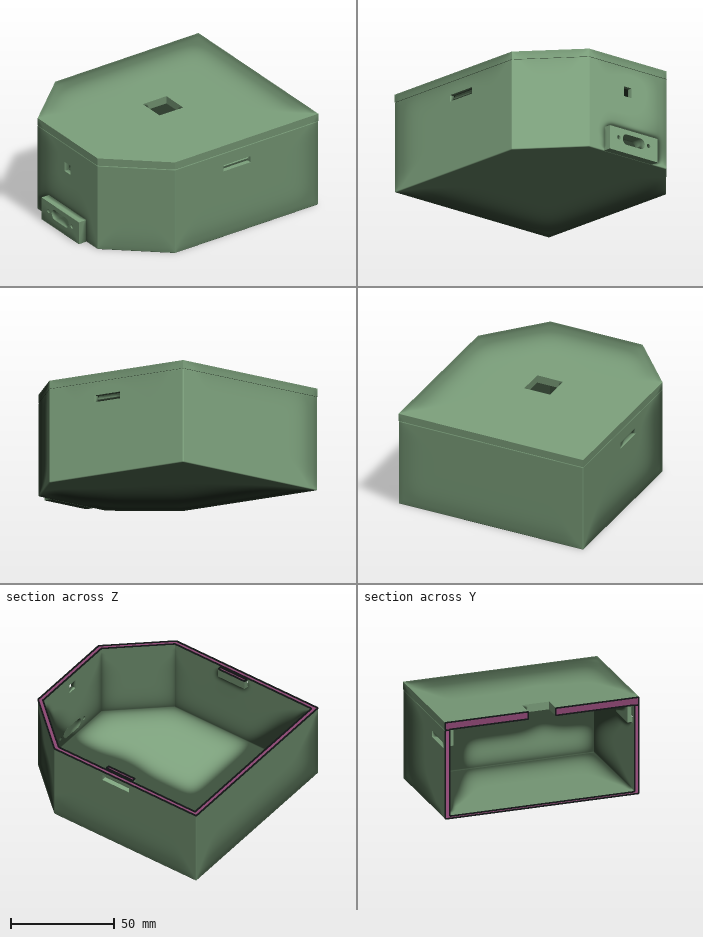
import cadquery as cq

WIDTH = 100.0
DEPTH = 113.2
HEIGHT = 50.0
CORNER_X = 25.0
CORNER_Y = 28.2

WALL = 2.5
FLOOR = 1.4
EDGE_ROUND = 0.5

LID_THICKNESS = 4.0
WINDOW_SIZE = 14.0

SLOT_LENGTH = 16.0
SLOT_HEIGHT = 3.3
SLOT_TOP = 39.4
SLOT_CENTRE_Y = 8.3
CLIP_THICKNESS = 2.0
CLIP_GAP = 0.7
NOSE_REACH = 1.4
NOSE_TOP_DROP = 1.6
NOSE_TIP_HEIGHT = 0.2
NOSE_BOTTOM_DROP = 0.9

SIGHT_HOLE_SIZE = 4.9
SIGHT_HOLE_Z = 33.5

PLATE_WIDTH = 31.0
PLATE_HEIGHT = 12.0
PLATE_THICKNESS = 4.3
SOCKET_Z = 7.0
SOCKET_LENGTH = 14.2
SOCKET_HEIGHT = 5.3
SCREW_HOLE_DIAMETER = 2.1
SCREW_HOLE_SPACING = 19.3

body_height = HEIGHT - LID_THICKNESS
front_y = -DEPTH / 2
half_width = WIDTH / 2


def plan_prism(height, inset=0):
    """Prism of the housing outline, drawn in by inset and standing on Z = 0."""
    outline = [
        (-half_width, -front_y),
        (-half_width, front_y + CORNER_Y),
        (-half_width + CORNER_X, front_y),
        (half_width - CORNER_X, front_y),
        (half_width, front_y + CORNER_Y),
        (half_width, -front_y),
    ]
    plan = cq.Workplane("XY").polyline(outline).close()
    if inset:
        plan = plan.offset2D(-inset)
    return plan.extrude(height)


def socket_cutter(near_y, length):
    """Rounded connector opening and its two screw holes, running from near_y toward +Y."""
    face = cq.Workplane("XZ", origin=(0, near_y, SOCKET_Z))
    opening = face.slot2D(SOCKET_LENGTH, SOCKET_HEIGHT).extrude(-length)
    screw_holes = (
        face.pushPoints([(-SCREW_HOLE_SPACING / 2, 0), (SCREW_HOLE_SPACING / 2, 0)])
        .circle(SCREW_HOLE_DIAMETER / 2)
        .extrude(-length)
    )
    return opening.union(screw_holes)


def make_housing():
    """Open-topped tray with rounded edges and openings in its walls."""
    outer = plan_prism(body_height).edges().fillet(EDGE_ROUND)
    cavity = plan_prism(body_height, WALL).faces("<Z").edges().fillet(EDGE_ROUND).translate((0, 0, FLOOR))
    side_slots = (
        cq.Workplane("YZ", origin=(-half_width, SLOT_CENTRE_Y, SLOT_TOP - SLOT_HEIGHT / 2))
        .rect(SLOT_LENGTH, SLOT_HEIGHT)
        .extrude(WIDTH)
    )
    sight_hole = (
        cq.Workplane("XZ", origin=(0, front_y, SIGHT_HOLE_Z))
        .rect(SIGHT_HOLE_SIZE, SIGHT_HOLE_SIZE)
        .extrude(-WALL)
    )
    return outer.cut(cavity).cut(side_slots).cut(sight_hole).cut(socket_cutter(front_y, WALL))


def make_clip(side):
    """Snap clip along the inside of one side wall, its nose reaching into the wall slot."""
    face_x = half_width - WALL - CLIP_GAP
    tip_top = SLOT_TOP - NOSE_TOP_DROP
    tip_bottom = tip_top - NOSE_TIP_HEIGHT
    nose_bottom = tip_bottom - NOSE_BOTTOM_DROP
    profile = [
        (face_x - CLIP_THICKNESS, body_height),
        (face_x, body_height),
        (face_x, SLOT_TOP),
        (face_x + NOSE_REACH, tip_top),
        (face_x + NOSE_REACH, tip_bottom),
        (face_x, nose_bottom),
        (face_x - CLIP_THICKNESS, nose_bottom),
    ]
    section = [(side * x, z) for x, z in profile]
    return (
        cq.Workplane("XZ", origin=(0, SLOT_CENTRE_Y, 0))
        .polyline(section)
        .close()
        .extrude(SLOT_LENGTH / 2, both=True)
    )


def make_lid():
    """Flat lid with a square window and a snap clip on each side."""
    window = cq.Workplane("XY").rect(WINDOW_SIZE, WINDOW_SIZE).extrude(LID_THICKNESS)
    lid = plan_prism(LID_THICKNESS).cut(window).translate((0, 0, body_height))
    for side in (-1, 1):
        lid = lid.union(make_clip(side))
    return lid


def make_connector_plate():
    """Plate on the outside of the front wall, flush with the underside."""
    plate_y = front_y - PLATE_THICKNESS
    plate = cq.Workplane("XY").box(PLATE_WIDTH, PLATE_THICKNESS, PLATE_HEIGHT, centered=(True, False, False))
    return plate.translate((0, plate_y, 0)).cut(socket_cutter(plate_y, PLATE_THICKNESS))


housing = make_housing()
lid = make_lid()
connector_plate = make_connector_plate()

result = cq.Compound.makeCompound([housing.val(), lid.val(), connector_plate.val()])